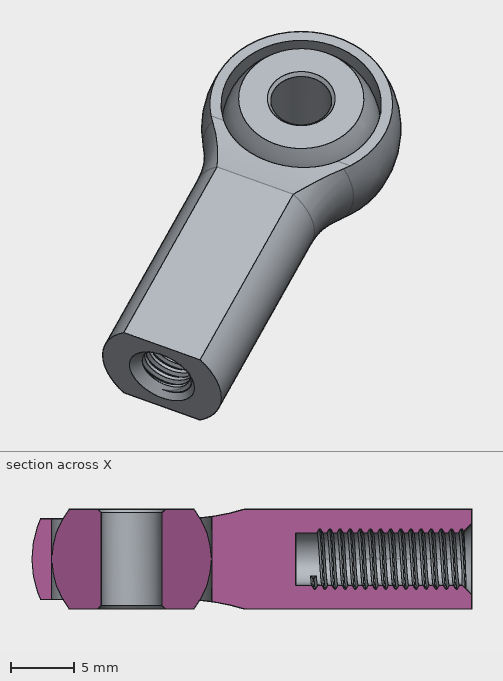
import cadquery as cq
import math


total_length = 34.9
total_thickness = 7.92
half_thickness = total_thickness / 2

eye_radius = 7.92
eye_thickness = 6.42
half_eye_thickness = eye_thickness / 2

ball_radius = 6.35
ball_hole_radius = 2.4
ball_hole_chamfer = 0.28

shank_radius = 5.15
shank_end = eye_radius - total_length
neck_end = -8.95
neck_flat_start = -3.98

thread_minor_radius = 2.05
thread_major_radius = 2.37
thread_pitch = 0.8
thread_length = 12.57
thread_hole_depth = 13.95
thread_start_angle = 85
thread_flank_angle = math.radians(30)
thread_root_width = thread_pitch / 8
thread_overlap = 0.07
mouth_radius = 2.83


def turned_blank():
    """Spherical eye, concave neck and round shank, revolved about Y."""
    neck_radius = (neck_end**2 + shank_radius**2 - eye_radius**2) / (2 * (eye_radius - shank_radius))
    neck_center_x = shank_radius + neck_radius
    center_distance = eye_radius + neck_radius
    tangent_x = neck_center_x * eye_radius / center_distance
    tangent_y = neck_end * eye_radius / center_distance

    half_turn = math.atan2(-neck_end, neck_center_x) / 2
    middle_x = neck_center_x - neck_radius * math.cos(half_turn)
    middle_y = neck_end + neck_radius * math.sin(half_turn)

    return (
        cq.Workplane("XY")
        .moveTo(0, eye_radius)
        .threePointArc((eye_radius, 0), (tangent_x, tangent_y))
        .threePointArc((middle_x, middle_y), (shank_radius, neck_end))
        .lineTo(shank_radius, shank_end)
        .lineTo(0, shank_end)
        .close()
        .revolve(360, (0, 0, 0), (0, 1, 0))
    )


def side_envelope():
    """Side outline in YZ: thin eye, curved neck flats, full thickness shank."""
    run = neck_flat_start - neck_end
    rise = half_thickness - half_eye_thickness
    flat_radius = (run**2 + rise**2) / (2 * rise)
    middle_y = neck_flat_start - run / 2
    middle_z = half_eye_thickness + flat_radius - math.sqrt(flat_radius**2 - (run / 2)**2)

    return (
        cq.Workplane("YZ")
        .moveTo(eye_radius, half_eye_thickness)
        .lineTo(neck_flat_start, half_eye_thickness)
        .threePointArc((middle_y, middle_z), (neck_end, half_thickness))
        .lineTo(shank_end, half_thickness)
        .lineTo(shank_end, -half_thickness)
        .lineTo(neck_end, -half_thickness)
        .threePointArc((middle_y, -middle_z), (neck_flat_start, -half_eye_thickness))
        .lineTo(eye_radius, -half_eye_thickness)
        .close()
        .extrude(eye_radius, both=True)
    )


def threaded_hole_drill():
    """Blind hole along Y with a 45 degree countersink at its mouth."""
    mouth_depth = mouth_radius - thread_minor_radius
    hole_bottom = shank_end + thread_hole_depth
    return (
        cq.Workplane("XY")
        .moveTo(0, shank_end)
        .lineTo(mouth_radius, shank_end)
        .lineTo(thread_minor_radius, shank_end + mouth_depth)
        .lineTo(thread_minor_radius, hole_bottom)
        .lineTo(0, hole_bottom)
        .close()
        .revolve(360, (0, 0, 0), (0, 1, 0))
    )


def thread_groove():
    """Left-hand helical V groove with a flat root, starting at the shank end."""
    inner_radius = thread_minor_radius - thread_overlap
    half_root = thread_root_width / 2
    half_mouth = half_root + (thread_major_radius - inner_radius) * math.tan(thread_flank_angle)
    helix = cq.Wire.makeHelix(thread_pitch, thread_length, inner_radius, lefthand=True)
    groove = (
        cq.Workplane("XZ")
        .moveTo(inner_radius, -half_mouth)
        .lineTo(thread_major_radius, -half_root)
        .lineTo(thread_major_radius, half_root)
        .lineTo(inner_radius, half_mouth)
        .close()
        .sweep(cq.Workplane(obj=helix), isFrenet=True)
    )
    return (
        groove.rotate((0, 0, 0), (0, 0, 1), -thread_start_angle)
        .rotate((0, 0, 0), (1, 0, 0), -90)
        .translate((0, shank_end, 0))
    )


def make_housing():
    """Eye, neck and shank in one piece; the ball touches the straight eye bore at its equator."""
    eye_bore = cq.Workplane("XY").circle(ball_radius).extrude(half_thickness, both=True)
    return (
        turned_blank()
        .intersect(side_envelope())
        .cut(eye_bore)
        .cut(threaded_hole_drill())
        .cut(thread_groove())
    )


def make_ball():
    """Sphere cut flat at both ends, with a chamfered through hole."""
    ball_slab = cq.Workplane("XY").circle(ball_radius).extrude(half_thickness, both=True)
    return (
        cq.Workplane("XY")
        .sphere(ball_radius)
        .intersect(ball_slab)
        .faces(">Z")
        .workplane()
        .hole(2 * ball_hole_radius)
        .faces("<Z or >Z")
        .edges(cq.selectors.RadiusNthSelector(0))
        .chamfer(ball_hole_chamfer)
    )


housing = make_housing()
ball = make_ball()

result = cq.Compound.makeCompound([housing.solids().val(), ball.solids().val()])